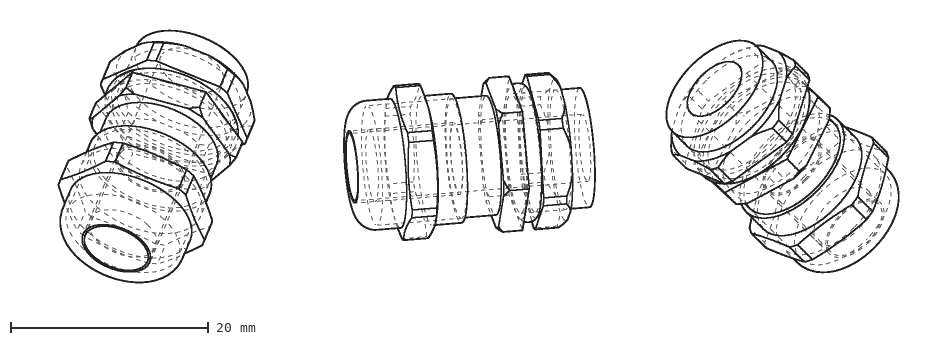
import cadquery as cq
import math

length = 23.9

thread_radius = 6.07
cap_radius = 6.58
cable_radius = 3.42
seal_radius = 3.65
ring_radius = 7.08
ring_contact_radius = 6.7

cap_round = 2.03
cap_length = 10.7
cap_hex_start = 4.45
cap_hex_width = 3.25
cap_bevel = 0.35
cap_turn = 46.6

body_hex_start = 14.27
body_hex_width = 2.55
body_hex_corner = 7.85
body_end_radius = 7.36
body_bevel = 0.53
body_turn = 0.0

ring_width = 1.48
locknut_width = 3.08
locknut_bevel = 0.7
locknut_end_radius = 7.22
locknut_turn = 47.7

nut_apothem = 7.1
nut_corner = nut_apothem / math.cos(math.pi / 6)
nut_trim_radius = 7.91

neck_start = cap_round
cap_hex_end = cap_hex_start + cap_hex_width
ring_start = body_hex_start + body_hex_width
locknut_start = ring_start + ring_width
locknut_end = locknut_start + locknut_width


def cylinder(radius, start, end):
    return cq.Workplane("XZ", origin=(0, start, 0)).circle(radius).extrude(start - end)


def turned(profile):
    """Revolve a closed list of (radius, y) points about the Y axis."""
    return cq.Workplane("XY").polyline(profile).close().revolve(360, (0, 0, 0), (0, 1, 0))


def hex_prism(corner_radius, turn, start, end):
    corners = []
    for i in range(6):
        angle = math.radians(turn + 60 * i)
        corners.append((corner_radius * math.cos(angle), corner_radius * math.sin(angle)))
    return cq.Workplane("XZ", origin=(0, start, 0)).polyline(corners).close().extrude(start - end)


def make_cap_nut():
    collar_blank = turned([
        (0, cap_hex_start),
        (cap_radius, cap_hex_start),
        (nut_trim_radius, cap_hex_start + cap_bevel),
        (nut_trim_radius, cap_hex_end - cap_bevel),
        (cap_radius, cap_hex_end),
        (0, cap_hex_end),
    ])
    collar = hex_prism(nut_corner, cap_turn, cap_hex_start, cap_hex_end).intersect(collar_blank)

    sleeve = cylinder(cap_radius, 0, cap_length).faces("<Y").edges().fillet(cap_round)
    seal_hole = cylinder(seal_radius, 0, cap_length)
    neck_recess = cylinder(thread_radius, neck_start, cap_length)
    return sleeve.union(collar).cut(seal_hole).cut(neck_recess)


def make_seal():
    return cylinder(seal_radius, 0, cap_length).cut(cylinder(cable_radius, 0, cap_length))


def make_body():
    hex_blank = turned([
        (0, body_hex_start),
        (body_end_radius, body_hex_start),
        (body_hex_corner, body_hex_start + body_bevel),
        (body_hex_corner, ring_start),
        (0, ring_start),
    ])
    hexagon = hex_prism(body_hex_corner, body_turn, body_hex_start, ring_start).intersect(hex_blank)
    barrel = cylinder(thread_radius, neck_start, length)
    cable_bore = cylinder(cable_radius, neck_start, length)
    seal_seat = cylinder(seal_radius, neck_start, cap_length)
    return barrel.union(hexagon).cut(cable_bore).cut(seal_seat)


def make_o_ring():
    return (
        cq.Workplane("XY")
        .moveTo(thread_radius, ring_start)
        .lineTo(ring_contact_radius, ring_start)
        .threePointArc((ring_radius, ring_start + ring_width / 2), (ring_contact_radius, locknut_start))
        .lineTo(thread_radius, locknut_start)
        .close()
        .revolve(360, (0, 0, 0), (0, 1, 0))
    )


def make_locknut():
    blank = turned([
        (thread_radius, locknut_start),
        (nut_trim_radius, locknut_start),
        (nut_trim_radius, locknut_end - locknut_bevel),
        (locknut_end_radius, locknut_end),
        (thread_radius, locknut_end),
    ])
    return hex_prism(nut_corner, locknut_turn, locknut_start, locknut_end).intersect(blank)


cap_nut = make_cap_nut()
seal = make_seal()
body = make_body()
o_ring = make_o_ring()
locknut = make_locknut()

result = cq.Compound.makeCompound([
    cap_nut.solids().val(),
    seal.solids().val(),
    body.solids().val(),
    o_ring.solids().val(),
    locknut.solids().val(),
])